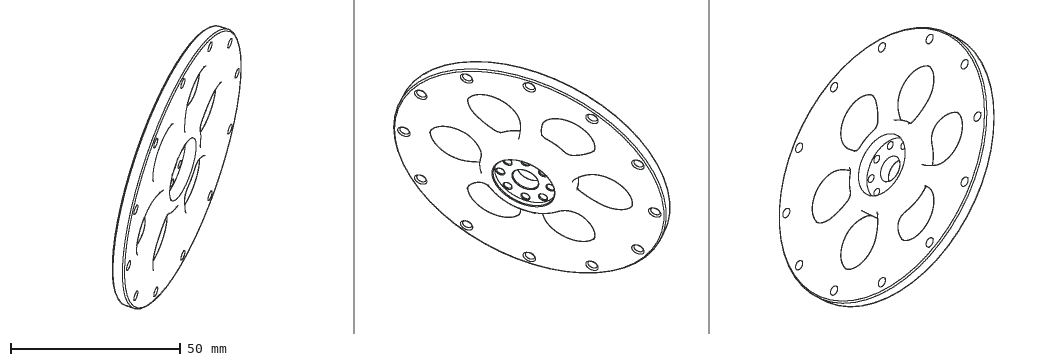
import cadquery as cq
import math

disc_diameter = 87.0
disc_thickness = 4.0
disc_chamfer = 0.5

overall_depth = 8.5
hub_foot_radius = 23.2
hub_flare_radius = 14.0
hub_edge_round = 2.0

recess_diameter = 19.6
front_recess_depth = 1.5
back_recess_depth = 3.5
bore_diameter = 8.1
hub_chamfer = 0.25
bolt_count = 8
bolt_diameter = 2.4
bolt_circle_radius = 8.0

rim_hole_count = 12
rim_hole_diameter = 3.0
rim_hole_circle_radius = 40.0
rim_hole_chamfer = 0.5

window_count = 6
window_end_radius = 8.6
window_end_distance = 23.9
window_flank_radius = 21.0
window_flank_tilt = 14.0
window_hub_radius = 14.8
window_corner_radius = 2.0
window_front_round = 1.0
window_back_round = 2.0

disc_radius = disc_diameter / 2
disc_front = -disc_thickness
hub_front = -overall_depth
recess_floor = hub_front + front_recess_depth

edge_tolerance = 0.01


def make_disc():
    return (
        cq.Workplane("YZ")
        .circle(disc_radius)
        .extrude(-disc_thickness)
        .edges()
        .chamfer(disc_chamfer)
    )


def make_hub():
    """Revolve the flared hub, whose flare is tangent to the disc front at the hub foot."""
    hub_height = overall_depth - disc_thickness

    def flare_point(height):
        inward = math.sqrt(hub_flare_radius**2 - (hub_flare_radius - height) ** 2)
        return (disc_front - height, hub_foot_radius - inward)

    hub = (
        cq.Workplane("XY")
        .moveTo(0, 0)
        .lineTo(0, hub_foot_radius)
        .lineTo(disc_front, hub_foot_radius)
        .threePointArc(flare_point(hub_height / 4), flare_point(hub_height))
        .lineTo(hub_front, 0)
        .close()
        .revolve(360, (0, 0, 0), (1, 0, 0))
    )
    return hub.faces("<X").edges().fillet(hub_edge_round)


def make_window_cutter():
    """Build the cutter of the window that lies along +Y."""
    tilt = math.radians(window_flank_tilt)
    tangent_y = window_end_distance - window_end_radius * math.sin(tilt)
    tangent_z = window_end_radius * math.cos(tilt)

    centre_shift = window_flank_radius - window_end_radius
    flank_y = window_end_distance + centre_shift * math.sin(tilt)
    flank_z = -centre_shift * math.cos(tilt)

    flank_distance = math.hypot(flank_y, flank_z)
    along = (flank_distance**2 + window_hub_radius**2 - window_flank_radius**2) / (2 * flank_distance)
    corner_angle = math.atan2(flank_z, flank_y) + math.acos(along / window_hub_radius)
    corner_y = window_hub_radius * math.cos(corner_angle)
    corner_z = window_hub_radius * math.sin(corner_angle)

    start_angle = math.atan2(tangent_z - flank_z, tangent_y - flank_y)
    stop_angle = math.atan2(corner_z - flank_z, corner_y - flank_y)
    middle_angle = (start_angle + stop_angle) / 2
    middle_y = flank_y + window_flank_radius * math.cos(middle_angle)
    middle_z = flank_z + window_flank_radius * math.sin(middle_angle)

    cutter = (
        cq.Workplane("YZ")
        .moveTo(corner_y, -corner_z)
        .threePointArc((middle_y, -middle_z), (tangent_y, -tangent_z))
        .threePointArc((window_end_distance + window_end_radius, 0), (tangent_y, tangent_z))
        .threePointArc((middle_y, middle_z), (corner_y, corner_z))
        .threePointArc((window_hub_radius, 0), (corner_y, -corner_z))
        .close()
        .extrude(-overall_depth)
    )
    corners = cutter.edges("|X").edges(cq.selectors.BoxSelector(
        (-2 * overall_depth, 0, -disc_radius),
        (overall_depth, (corner_y + tangent_y) / 2, disc_radius),
    ))
    return corners.fillet(window_corner_radius)


def cut_windows(body):
    cutter = make_window_cutter()
    for index in range(window_count):
        body = body.cut(cutter.rotate((0, 0, 0), (1, 0, 0), index * 360 / window_count))

    inner_limit = window_hub_radius - window_corner_radius
    outer_limit = disc_radius - disc_chamfer - window_corner_radius
    back_edges = []
    front_edges = []
    for edge in body.edges().vals():
        middle = edge.positionAt(0.5)
        distance = math.hypot(middle.y, middle.z)
        along_axis = abs(edge.tangentAt(0.5).x) > 1 - edge_tolerance
        on_hub_foot = abs(distance - hub_foot_radius) < edge_tolerance
        if along_axis or on_hub_foot or not inner_limit < distance < outer_limit:
            continue
        if middle.x > disc_front / 2:
            back_edges.append(edge)
        else:
            front_edges.append(edge)
    solid = body.val()
    solid = solid.fillet(window_front_round, front_edges)
    solid = solid.fillet(window_back_round, back_edges)
    return cq.Workplane(solid)


def make_hole_cutter(face_x, end_x, diameter, chamfer):
    """Build a cutter around the X axis from face_x, where it is chamfered, to end_x."""
    radius = diameter / 2
    return (
        cq.Workplane("XY")
        .moveTo(face_x, 0)
        .lineTo(face_x, radius + chamfer)
        .lineTo(face_x + chamfer, radius)
        .lineTo(end_x, radius)
        .lineTo(end_x, 0)
        .close()
        .revolve(360, (0, 0, 0), (1, 0, 0))
    )


def cut_hole_circle(body, cutter, count, circle_radius):
    shifted = cutter.translate((0, circle_radius, 0))
    for index in range(count):
        body = body.cut(shifted.rotate((0, 0, 0), (1, 0, 0), index * 360 / count))
    return body


def cut_hub_holes(body):
    front_recess = make_hole_cutter(hub_front, recess_floor, recess_diameter, hub_chamfer)
    back_recess = cq.Workplane("YZ").circle(recess_diameter / 2).extrude(-back_recess_depth)
    body = body.cut(front_recess).cut(back_recess)
    body = body.cut(make_hole_cutter(recess_floor, 0, bore_diameter, hub_chamfer))
    bolt_cutter = make_hole_cutter(recess_floor, 0, bolt_diameter, hub_chamfer)
    return cut_hole_circle(body, bolt_cutter, bolt_count, bolt_circle_radius)


def cut_rim_holes(body):
    cutter = make_hole_cutter(disc_front, 0, rim_hole_diameter, rim_hole_chamfer)
    return cut_hole_circle(body, cutter, rim_hole_count, rim_hole_circle_radius)


wheel = make_disc().union(make_hub())
wheel = cut_windows(wheel)
wheel = cut_hub_holes(wheel)
result = cut_rim_holes(wheel)